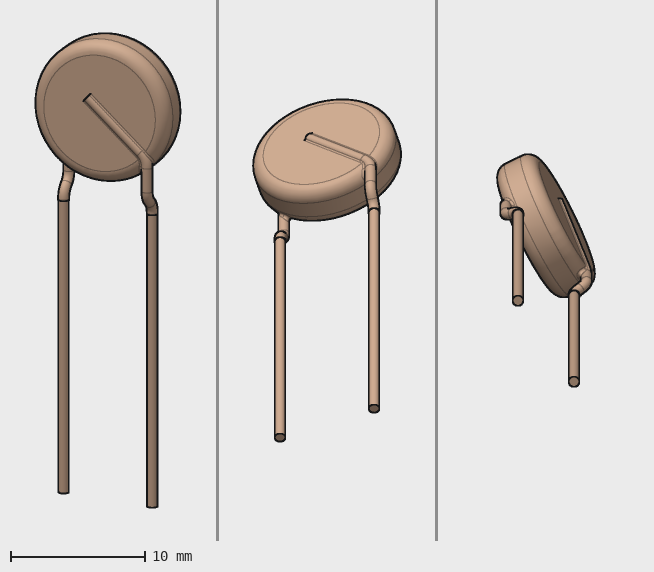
import cadquery as cq
import math


disc_diameter = 11.0
disc_radius = disc_diameter / 2
disc_edge_radius = 1.0

total_depth = 3.75
total_height = 36.0

lead_pitch = 7.5
lead_diameter = 0.8
coating_diameter = 0.85
coating_radius = coating_diameter / 2
coating_proud_of_face = 0.2
lead_x = lead_pitch / 2

disc_thickness = total_depth - 2 * coating_proud_of_face
upper_y = total_depth / 2 - coating_radius
lower_y = coating_radius
lead_tip_z = disc_radius - total_height

diagonal_angle = math.radians(48)
diagonal_rise = 0.2
wire_end_x = -1.0
elbow_radius = 1.5

seam_fillet_radius = 0.2
seam_sample_fractions = (0.1, 0.4, 0.8)
touch_tolerance = 0.001

kink_top_z = -5.7
kink_height = 1.95
kink_bottom_z = kink_top_z - kink_height
coating_straight_end = 0.1
coating_end_z = kink_bottom_z - coating_straight_end


def make_disc():
    """Disc with both rims rounded."""
    back_plane = cq.Workplane("XZ", origin=(0, disc_thickness / 2, 0))
    blank = back_plane.circle(disc_radius).extrude(disc_thickness)
    return blank.faces("<Y or >Y").edges().fillet(disc_edge_radius)


def coating_path():
    """Axis of the coated wire on the front face, from its buried end down to the bare lead."""
    sin_a = math.sin(diagonal_angle)
    cos_a = math.cos(diagonal_angle)
    half_angle = diagonal_angle / 2

    wire_end_z = diagonal_rise - wire_end_x * cos_a / sin_a
    corner_z = diagonal_rise - lead_x * cos_a / sin_a
    tangent_length = elbow_radius * math.tan(half_angle)
    elbow_centre_x = lead_x - elbow_radius
    elbow_bottom_z = corner_z - tangent_length

    wire_end = cq.Vector(wire_end_x, -upper_y, wire_end_z)
    elbow_top = cq.Vector(
        lead_x - tangent_length * sin_a,
        -upper_y,
        corner_z + tangent_length * cos_a,
    )
    elbow_middle = cq.Vector(
        elbow_centre_x + elbow_radius * math.cos(half_angle),
        -upper_y,
        elbow_bottom_z + elbow_radius * math.sin(half_angle),
    )
    elbow_bottom = cq.Vector(lead_x, -upper_y, elbow_bottom_z)
    kink_top = cq.Vector(lead_x, -upper_y, kink_top_z)
    kink_bottom = cq.Vector(lead_x, -lower_y, kink_bottom_z)
    kink_middle = (kink_top + kink_bottom) * 0.5
    coating_end = cq.Vector(lead_x, -lower_y, coating_end_z)
    down = cq.Vector(0, 0, -1)
    up = cq.Vector(0, 0, 1)

    upper_arc = cq.Edge.makeTangentArc(kink_top, down, kink_middle)
    lower_arc = cq.Edge.makeTangentArc(kink_bottom, up, kink_middle)
    edges = [
        cq.Edge.makeLine(wire_end, elbow_top),
        cq.Edge.makeThreePointArc(elbow_top, elbow_middle, elbow_bottom),
        cq.Edge.makeLine(elbow_bottom, kink_top),
        upper_arc,
        lower_arc,
        cq.Edge.makeLine(kink_bottom, coating_end),
    ]
    return wire_end, elbow_top - wire_end, cq.Wire.assembleEdges(edges)


def make_front_lead():
    """Coated bent wire with its bare straight lead below."""
    start, direction, path = coating_path()
    section = cq.Workplane(cq.Plane(origin=start, xDir=(0, 1, 0), normal=direction))
    coating = section.circle(coating_radius).sweep(cq.Workplane(path))
    bare_lead = (
        cq.Workplane("XY", origin=(lead_x, -lower_y, lead_tip_z))
        .circle(lead_diameter / 2)
        .extrude(coating_end_z - lead_tip_z)
    )
    return coating.union(bare_lead)


def lies_on(edge, shape):
    """True if sample points along the edge all touch the surface of the shape."""
    surface = cq.Compound.makeCompound(shape.Faces())
    points = [edge.positionAt(fraction) for fraction in seam_sample_fractions]
    return all(
        surface.distance(cq.Vertex.makeVertex(*point.toTuple())) < touch_tolerance
        for point in points
    )


def crosses_wire_end(edge):
    """True for the short straight edge across the cut end of the wire."""
    return edge.geomType() == "LINE" and edge.Length() < coating_diameter


def join_with_fillet(body, disc, lead):
    """Add a lead to the body, with a fillet along its seam with the disc."""
    joined = body.union(lead).val()
    seam = [
        edge
        for edge in joined.Edges()
        if not crosses_wire_end(edge) and lies_on(edge, disc.val()) and lies_on(edge, lead.val())
    ]
    return cq.Workplane(joined.fillet(seam_fillet_radius, seam))


disc = make_disc()
front_lead = make_front_lead()
back_lead = front_lead.rotate((0, 0, 0), (0, 0, 1), 180)

with_front_lead = join_with_fillet(disc, disc, front_lead)
result = join_with_fillet(with_front_lead, disc, back_lead)